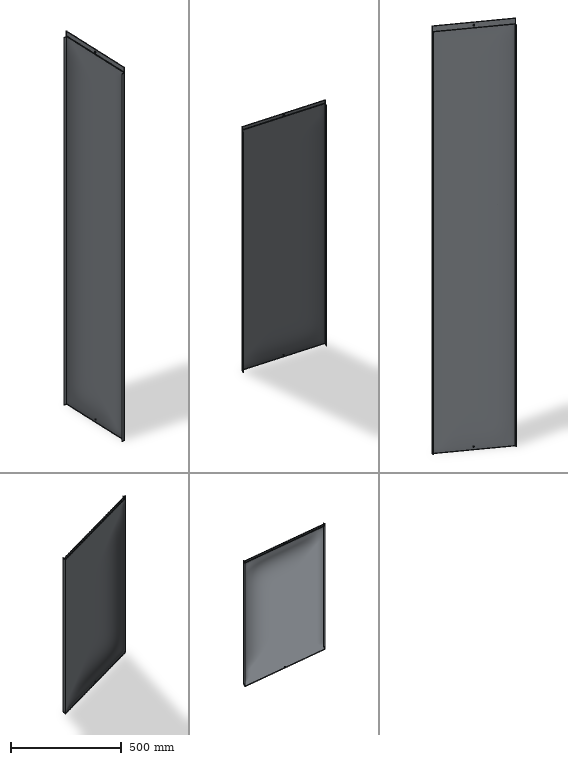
import cadquery as cq

width = 404.0
depth = 15.4
height = 1999.0

sheet = 1.0
lip_height = 28.0
lip_offset = 1.4
flange_clearance = 2.0
panel_height = height - lip_height
flange_height = panel_height - flange_clearance

top_hole_diameter = 7.0
bottom_hole_diameter = 5.0
hole_edge_distance = 15.0
top_hole_z = height - hole_edge_distance
bottom_hole_z = hole_edge_distance

back_y = depth / 2
left_x = -width / 2


def block(x, y, z, size_x, size_y, size_z):
    """Box placed by its lowest corner."""
    return cq.Workplane("XY").box(size_x, size_y, size_z, centered=False).translate((x, y, z))


def side_flange(x):
    """Forward-facing flange along one long edge."""
    return block(x, -depth / 2, 0, sheet, depth, flange_height)


def offset_lip():
    """Single-sheet lip stepped forward of the panel, joined by a short web."""
    lip_y = back_y - lip_offset - sheet
    lip = block(left_x, lip_y, panel_height, width, sheet, lip_height)
    web = block(left_x, lip_y, panel_height, width, lip_offset + sheet, sheet)
    return lip.union(web)


def centre_hole(diameter, z):
    """Round cutter through the full depth on the middle of the panel."""
    return cq.Workplane("XZ").center(0, z).circle(diameter / 2).extrude(depth, both=True)


result = block(left_x, back_y - sheet, 0, width, sheet, panel_height + sheet)

for flange_x in (left_x, -left_x - sheet):
    result = result.union(side_flange(flange_x))

result = result.union(offset_lip())

for hole_diameter, hole_z in (
    (top_hole_diameter, top_hole_z),
    (bottom_hole_diameter, bottom_hole_z),
):
    result = result.cut(centre_hole(hole_diameter, hole_z))